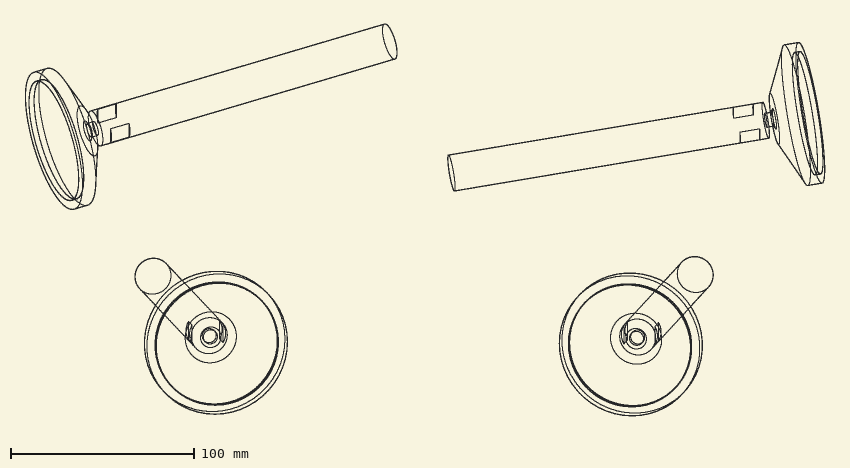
import cadquery as cq

total_length = 200.0

foot_diameter = 78.0
rim_height = 8.0
foot_height = 20.0
cone_top_diameter = 28.5

collar_diameter = 11.5
collar_height = 1.2
neck_diameter = 7.8

stem_diameter = 20.0
stem_start = 24.8
flat_start = 30.0
flat_length = 11.0
across_flats = 17.2

pad_diameter = 67.5
recess_diameter = 68.0
pad_thickness = 3.0


def along_y(start):
    """Workplane at Y = start whose extrusions run toward +Y."""
    return cq.Workplane("XZ", origin=(0, start, 0)).transformed(rotate=(180, 0, 0))


def disc(diameter, start, end):
    return along_y(start).circle(diameter / 2).extrude(end - start)


def foot_and_stem_blank():
    """Turn the stepped profile about the Y axis."""
    collar_end = foot_height + collar_height
    return (
        cq.Workplane("XY")
        .moveTo(0, 0)
        .lineTo(foot_diameter / 2, 0)
        .lineTo(foot_diameter / 2, rim_height)
        .lineTo(cone_top_diameter / 2, foot_height)
        .lineTo(collar_diameter / 2, foot_height)
        .lineTo(neck_diameter / 2, collar_end)
        .lineTo(neck_diameter / 2, stem_start)
        .lineTo(stem_diameter / 2, stem_start)
        .lineTo(stem_diameter / 2, total_length)
        .lineTo(0, total_length)
        .close()
        .revolve(360, (0, 0, 0), (0, 1, 0))
    )


def flat_cutter(side):
    """Block that cuts the wrench flat on the -X (side = -1) or +X (side = 1) of the stem."""
    block_width = stem_diameter / 2
    centre_x = side * (across_flats + block_width) / 2
    centre_y = flat_start + flat_length / 2
    return cq.Workplane("XY").box(block_width, flat_length, stem_diameter).translate((centre_x, centre_y, 0))


def make_foot():
    foot = foot_and_stem_blank()
    for side in (-1, 1):
        foot = foot.cut(flat_cutter(side))
    return foot.cut(disc(recess_diameter, 0, pad_thickness))


def make_pad():
    return disc(pad_diameter, 0, pad_thickness)


foot = make_foot()
pad = make_pad()

result = cq.Compound.makeCompound([foot.val(), pad.val()])